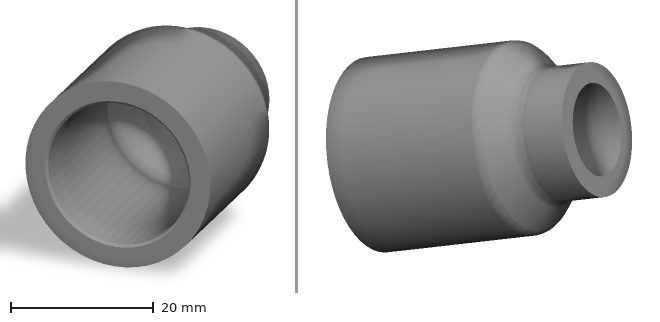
import cadquery as cq


length = 36.0
body_radius = 13.75
neck_radius = 9.5
neck_corner_length = 7.13
shoulder_fillet = 1.8

socket_radius = 10.48
mouth_chamfer = 0.35
funnel_radius = 9.32
passage_radius = 6.6
seat_slope = 0.79

mouth_y = -length / 2
neck_y = length / 2
shoulder_neck_y = neck_y - neck_corner_length
shoulder_body_y = shoulder_neck_y - (body_radius - neck_radius)
socket_end_y = shoulder_body_y
funnel_y = socket_end_y + (socket_radius - funnel_radius) * seat_slope
passage_y = funnel_y + funnel_radius - passage_radius


def revolve_about_y(points):
    """Turn a closed (radius, y) outline about the Y axis."""
    return cq.Workplane("XY").polyline(points).close().revolve(360, (0, 0, 0), (0, 1, 0))


def outer_body():
    """Solid body and neck joined by a 45-degree shoulder with rounded corners."""
    blank = revolve_about_y([
        (0, mouth_y),
        (body_radius, mouth_y),
        (body_radius, shoulder_body_y),
        (neck_radius, shoulder_neck_y),
        (neck_radius, neck_y),
        (0, neck_y),
    ])
    shoulder_edges = blank.edges("%CIRCLE and (not <Y) and (not >Y)")
    return shoulder_edges.fillet(shoulder_fillet)


def bore():
    """Chamfered socket, shallow seat, 45-degree funnel and passage through the neck."""
    return revolve_about_y([
        (0, mouth_y),
        (socket_radius + mouth_chamfer, mouth_y),
        (socket_radius, mouth_y + mouth_chamfer),
        (socket_radius, socket_end_y),
        (funnel_radius, funnel_y),
        (passage_radius, passage_y),
        (passage_radius, neck_y),
        (0, neck_y),
    ])


result = outer_body().cut(bore())